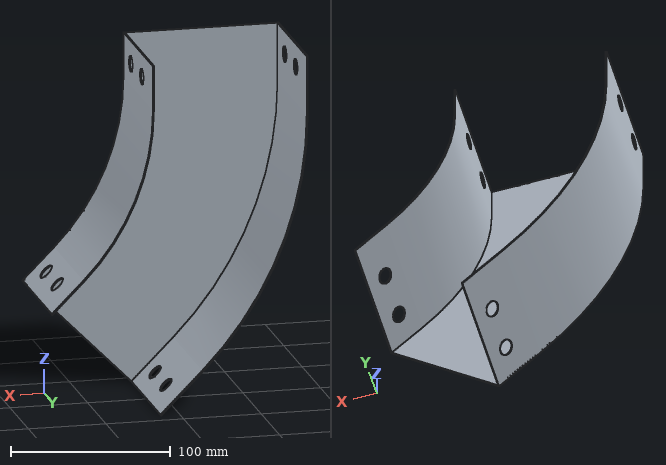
import cadquery as cq
import math

total_height = 228.0
channel_width = 99.9
wall_depth = 80.0
sheet = 0.8
bend_angle = 45.0
outer_radius = 230.3
inner_radius = 152.8

hole_diameter = 10.0
hole_end_distance = 15.0
hole_depths = (20.0, 50.0)

bend = math.radians(bend_angle)
outer_leg = total_height / (1 + math.cos(bend))


def leg_length(offset):
    """Straight length to the corner of a line set in from the outer face."""
    return outer_leg - offset * math.tan(bend / 2)


def wall_points(offset, radius):
    """Top, arc start, arc middle, arc end and lower end of one wall line."""
    straight = leg_length(offset) - radius * math.tan(bend / 2)

    def on_arc(angle):
        return (offset + radius * (1 - math.cos(angle)), -straight - radius * math.sin(angle))

    arc_end = on_arc(bend)
    lower_end = (
        arc_end[0] + straight * math.sin(bend),
        arc_end[1] - straight * math.cos(bend),
    )
    return (offset, 0), on_arc(0), on_arc(bend / 2), arc_end, lower_end


def channel_body(inset, front, back):
    """Solid between the two wall lines, each moved inward by the inset."""
    left = wall_points(inset, outer_radius - inset)
    right = wall_points(channel_width - inset, inner_radius + inset)
    return (
        cq.Workplane("XZ", origin=(0, front, 0))
        .moveTo(*left[0])
        .lineTo(*left[1])
        .threePointArc(left[2], left[3])
        .lineTo(*left[4])
        .lineTo(*right[4])
        .lineTo(*right[3])
        .threePointArc(right[2], right[1])
        .lineTo(*right[0])
        .close()
        .extrude(front - back)
    )


def hole_cutter(start, direction, depth):
    """Cylinder through both walls, beginning on the outer face."""
    plane = cq.Plane(origin=(start[0], depth, start[1]), xDir=(0, 1, 0), normal=direction)
    return cq.Workplane(plane).circle(hole_diameter / 2).extrude(channel_width)


result = channel_body(0, 0, wall_depth).cut(channel_body(sheet, sheet, wall_depth))

lower_end = wall_points(0, outer_radius)[4]
upper_start = (0, -hole_end_distance)
lower_start = (
    lower_end[0] - hole_end_distance * math.sin(bend),
    lower_end[1] + hole_end_distance * math.cos(bend),
)
for hole_depth in hole_depths:
    result = result.cut(hole_cutter(upper_start, (1, 0, 0), hole_depth))
    result = result.cut(hole_cutter(lower_start, (math.cos(bend), 0, math.sin(bend)), hole_depth))